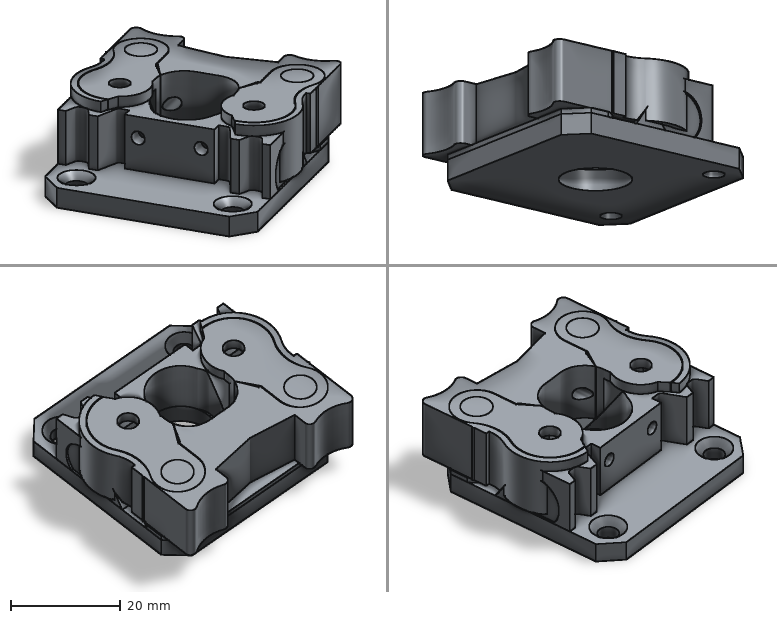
import cadquery as cq
import math

OVERALL_WIDTH = 44.65
PLATE_SIDE = 42.15
PLATE_CHAMFER = 3.95
PLATE_TOP = 4.0
BORE_RADIUS = 6.75
CORNER_OFFSET = 15.5
SCREW_HOLE_RADIUS = 2.0
COUNTERSINK_RADIUS = 3.5

YOKE_BOTTOM = 5.0
PAD_RADIUS = 6.02
TOP = 17.0
PIN_RADIUS = 3.0

HOUSING_TOP = 14.88
HOUSING_FRONT = -10.95
RAMP_FOOT = 6.65
RAMP_HEAD = -0.65
CHANNEL_HALF_WIDTH = 7.15
CHANNEL_CORNER = 3.65
NOTCH_FLOOR = -8.3
NOTCH_FILLET = 0.95
NOTCH_MOUTH = (-19.55, -14.95)
NOTCH_BASE = (-18.35, -16.15)
TOOTH_TIP = -13.2
TOOTH_ROOT = -11.1
SHOULDER = -6.2
BLOCK_HALF_WIDTH = 8.9
BLOCK_FRONT = -8.3
CROSS_HOLE_X = 6.25
CROSS_HOLE_Z = 10.6
CROSS_HOLE_RADIUS = 1.32
BLOCK_HOLE_END = -5.0
YOKE_HOLE_END = 13.7
DISC_RADIUS = 4.95
DISC_Y = -3.45
DISC_Z = 7.57
DISC_DEPTH = 0.45

LOBE_X = -13.32
LOBE_RADIUS = 7.57
LOBE_INNER_RADIUS = 6.02
LOBE_STEP = (-12.5, -11.25)
OUTER_ARC_MIDDLE = math.radians(210)
INNER_ARC_MIDDLE = math.radians(-15)
INNER_ARC_END = math.radians(30)
LEVER_HOLE_RADIUS = 2.0
LEVER_STEP_Y = 4.45
PIN_LOBE_RADIUS = 5.05
NECK_RADIUS = 8.65
ELBOW_Y = 10.3
ELBOW_END = (-7.7, 6.02)
CLEARANCE = 0.15
GAP_START = math.radians(60)
RIM_END_OUTER_X = -13.35

WING_OUTER = -20.85
WING_INNER = -9.95
WING_FRONT = 8.95
WING_FILLET = 1.2
WING_DIP_RADIUS = 8.0
WING_DIP_X = -14.7
WING_DIP_Y = 31.07
CROSSBAR_OUTER_REAR = 19.9
CROSSBAR_MIDDLE_REAR = 18.5
OPENING_HALF_WIDTH = 8.05
OPENING_REAR = 10.1
OPENING_CORNER = 5.7

HALF = PLATE_SIDE / 2
PIN = (-CORNER_OFFSET, CORNER_OFFSET)
LOBE = (LOBE_X, 0.0)
MID_LEVER = ((PIN[0] + LOBE[0]) / 2, (PIN[1] + LOBE[1]) / 2)
RIM_RADIUS = OVERALL_WIDTH / 2 + LOBE_X


def prism(outline, bottom, top):
    return outline.extrude(top - bottom).translate((0, 0, bottom))


def on_circle(centre, radius, angle):
    """Point on a circle, with the angle in radians."""
    return (centre[0] + radius * math.cos(angle), centre[1] + radius * math.sin(angle))


def toward(start, end, distance):
    """Point at the given distance from start in the direction of end."""
    return on_circle(start, distance, math.atan2(end[1] - start[1], end[0] - start[0]))


def below_centre(centre, radius, x):
    """Point at x on the lower half of a circle."""
    return (x, centre[1] - math.sqrt(radius**2 - (x - centre[0])**2))


def neck_centre():
    """Centre of the waist circle that touches the pin lobe and the front lobe from outside."""
    pin_reach = PIN_LOBE_RADIUS + NECK_RADIUS
    lobe_reach = LOBE_RADIUS + NECK_RADIUS
    span = math.dist(PIN, LOBE)
    to_lobe = math.atan2(LOBE[1] - PIN[1], LOBE[0] - PIN[0])
    cosine = (pin_reach**2 + span**2 - lobe_reach**2) / (2 * pin_reach * span)
    return on_circle(PIN, pin_reach, to_lobe - math.acos(cosine))


def mirrored(body):
    return body.mirror("YZ")


def centred_box(half_width, front, rear, bottom, top):
    size = (2 * half_width, rear - front, top - bottom)
    return cq.Workplane().box(*size).translate((0, (front + rear) / 2, (bottom + top) / 2))


NECK = neck_centre()


def square_slab(bottom, top):
    """Square of the plate size with chamfered corners."""
    return centred_box(HALF, -HALF, HALF, bottom, top).edges("|Z").chamfer(PLATE_CHAMFER)


def screw_hole(side):
    """Through hole with a 90 degree countersink."""
    sink = COUNTERSINK_RADIUS - SCREW_HOLE_RADIUS
    profile = (
        cq.Workplane("XZ")
        .polyline([
            (0, 0),
            (SCREW_HOLE_RADIUS, 0),
            (SCREW_HOLE_RADIUS, PLATE_TOP - sink),
            (COUNTERSINK_RADIUS, PLATE_TOP),
            (0, PLATE_TOP),
        ])
        .close()
    )
    hole = profile.revolve(360, (0, 0), (0, 1))
    return hole.translate((side * CORNER_OFFSET, -CORNER_OFFSET, 0))


def make_base():
    base = square_slab(0, PLATE_TOP).cut(prism(cq.Workplane().circle(BORE_RADIUS), 0, PLATE_TOP))
    return base.cut(screw_hole(-1)).cut(screw_hole(1))


def make_pad():
    """Thin spacer under the yoke: a rear strip with a round boss below each pin."""
    pad = centred_box(HALF, CORNER_OFFSET, HALF, PLATE_TOP, YOKE_BOTTOM)
    for side in (-1, 1):
        boss = cq.Workplane().center(side * CORNER_OFFSET, CORNER_OFFSET).circle(PAD_RADIUS)
        pad = pad.union(prism(boss, PLATE_TOP, YOKE_BOTTOM))
    return pad.intersect(square_slab(PLATE_TOP, YOKE_BOTTOM))


def housing_block():
    """Plain block with the sloped back."""
    return (
        cq.Workplane("YZ")
        .polyline([
            (HOUSING_FRONT, PLATE_TOP),
            (RAMP_FOOT, PLATE_TOP),
            (RAMP_HEAD, HOUSING_TOP),
            (HOUSING_FRONT, HOUSING_TOP),
        ])
        .close()
        .extrude(HALF, both=True)
    )


def side_recess():
    """Shallow round recess in the left side."""
    return (
        cq.Workplane("YZ", origin=(-HALF, 0, 0))
        .center(DISC_Y, DISC_Z)
        .circle(DISC_RADIUS)
        .extrude(DISC_DEPTH)
    )


def recessed_block():
    return housing_block().cut(side_recess()).cut(mirrored(side_recess()))


def side_notch():
    """Trapezoidal notch in the front of the left side."""
    notch = cq.Workplane().polyline([
        (NOTCH_MOUTH[0], HOUSING_FRONT),
        (NOTCH_BASE[0], NOTCH_FLOOR),
        (NOTCH_BASE[1], NOTCH_FLOOR),
        (NOTCH_MOUTH[1], HOUSING_FRONT),
    ]).close()
    return prism(notch, PLATE_TOP, HOUSING_TOP).edges("|Z and >Y").fillet(NOTCH_FILLET)


def centre_recess():
    """Wide recess between the two front teeth, behind which the block stands."""
    recess = cq.Workplane().polyline([
        (TOOTH_TIP, HOUSING_FRONT),
        (TOOTH_ROOT, SHOULDER),
        (-TOOTH_ROOT, SHOULDER),
        (-TOOTH_TIP, HOUSING_FRONT),
    ]).close()
    recess = prism(recess, PLATE_TOP, HOUSING_TOP).edges("|Z and >Y").fillet(NOTCH_FILLET)
    return recess.cut(centred_box(BLOCK_HALF_WIDTH, BLOCK_FRONT, 0, PLATE_TOP, HOUSING_TOP))


def channel():
    """Bore that widens to a rounded channel toward the sloped back."""
    wide = centred_box(CHANNEL_HALF_WIDTH, -CHANNEL_CORNER, RAMP_FOOT, PLATE_TOP, HOUSING_TOP)
    wide = wide.edges("|Z").fillet(CHANNEL_CORNER)
    return wide.union(prism(cq.Workplane().circle(BORE_RADIUS), PLATE_TOP, HOUSING_TOP))


def cross_holes(front, rear):
    """Pair of horizontal holes along Y."""
    return (
        cq.Workplane("XZ", origin=(0, rear, 0))
        .pushPoints([(-CROSS_HOLE_X, CROSS_HOLE_Z), (CROSS_HOLE_X, CROSS_HOLE_Z)])
        .circle(CROSS_HOLE_RADIUS)
        .extrude(rear - front)
    )


def make_housing():
    housing = recessed_block().cut(centre_recess()).cut(channel())
    housing = housing.cut(side_notch()).cut(mirrored(side_notch()))
    return housing.cut(cross_holes(BLOCK_FRONT, BLOCK_HOLE_END))


def opening():
    """Rounded opening above the bore, between the levers and the crossbar."""
    box = centred_box(OPENING_HALF_WIDTH, -OPENING_CORNER, OPENING_REAR, YOKE_BOTTOM, TOP)
    return box.edges("|Z and >Y").fillet(OPENING_CORNER)


def lever_blank(gap):
    """Left lever as a full-depth prism, grown by the gap except around the back of the pin lobe."""
    lobe_radius = LOBE_RADIUS + gap
    inner_radius = LOBE_INNER_RADIUS + gap
    inner_x = PIN[0] + PIN_LOBE_RADIUS + gap
    step_bottom = below_centre(LOBE, lobe_radius, LOBE_STEP[0])
    step_top = below_centre(LOBE, inner_radius, LOBE_STEP[1])
    outline = (
        cq.Workplane()
        .moveTo(inner_x, PIN[1])
        .threePointArc(
            on_circle(PIN, PIN_LOBE_RADIUS + gap / 2, GAP_START / 2),
            on_circle(PIN, PIN_LOBE_RADIUS, GAP_START),
        )
        .threePointArc((PIN[0] - PIN_LOBE_RADIUS, PIN[1]), toward(PIN, NECK, PIN_LOBE_RADIUS))
        .threePointArc(toward(NECK, MID_LEVER, NECK_RADIUS - gap), toward(LOBE, NECK, lobe_radius))
        .threePointArc(on_circle(LOBE, lobe_radius, OUTER_ARC_MIDDLE), step_bottom)
        .lineTo(*step_top)
        .threePointArc(
            on_circle(LOBE, inner_radius, INNER_ARC_MIDDLE),
            on_circle(LOBE, inner_radius, INNER_ARC_END),
        )
        .lineTo(ELBOW_END[0] + gap, ELBOW_END[1])
        .lineTo(inner_x, ELBOW_Y)
        .close()
    )
    return prism(outline, YOKE_BOTTOM, TOP)


def rear_opening():
    """Part of the opening that hollows the lever beside its front lobe."""
    lobe = prism(cq.Workplane().center(*LOBE).circle(LOBE_INNER_RADIUS), YOKE_BOTTOM, TOP)
    return opening().cut(lobe)


def make_lever():
    hole = prism(cq.Workplane().center(*LOBE).circle(LEVER_HOLE_RADIUS), YOKE_BOTTOM, TOP)
    pin_hole = prism(cq.Workplane().center(*PIN).circle(PIN_RADIUS), YOKE_BOTTOM, TOP)
    front_relief = centred_box(HALF, HOUSING_FRONT, LEVER_STEP_Y, YOKE_BOTTOM, HOUSING_TOP)
    lever = lever_blank(0).cut(rear_opening()).cut(front_relief).cut(housing_block())
    return lever.cut(hole).cut(pin_hole)


def wing():
    """Rear corner block with a dipped rear edge."""
    def rear_point(x):
        return below_centre((WING_DIP_X, WING_DIP_Y), WING_DIP_RADIUS, x)

    outline = (
        cq.Workplane()
        .moveTo(WING_INNER, WING_FRONT)
        .lineTo(*rear_point(WING_INNER))
        .threePointArc(rear_point(WING_DIP_X), rear_point(WING_OUTER))
        .lineTo(WING_OUTER, WING_FRONT)
        .close()
    )
    block = prism(outline, YOKE_BOTTOM, TOP)
    rear_corners = block.edges("|Z").edges(cq.selectors.BoxSelector(
        (WING_OUTER - WING_FILLET, CORNER_OFFSET, YOKE_BOTTOM),
        (WING_INNER + WING_FILLET, WING_DIP_Y, TOP),
    ))
    return rear_corners.fillet(WING_FILLET)


def crossbar():
    """Left half of the bar that joins the wings behind the bore."""
    outline = cq.Workplane().polyline([
        (WING_INNER, CROSSBAR_OUTER_REAR),
        (0, CROSSBAR_MIDDLE_REAR),
        (0, ELBOW_END[1]),
        (ELBOW_END[0], ELBOW_END[1]),
        (WING_INNER, ELBOW_Y),
    ]).close()
    return prism(outline, YOKE_BOTTOM, TOP)


def rim():
    """Wall that follows the outer side of the lever."""
    growth = RIM_RADIUS - LOBE_RADIUS
    start = toward(PIN, NECK, PIN_LOBE_RADIUS)
    outer_end = below_centre(LOBE, RIM_RADIUS, RIM_END_OUTER_X)
    inner_end = below_centre(LOBE, LOBE_RADIUS, LOBE_STEP[0])
    outline = (
        cq.Workplane()
        .moveTo(*start)
        .lineTo(*toward(NECK, PIN, NECK_RADIUS - growth))
        .threePointArc(
            toward(NECK, MID_LEVER, NECK_RADIUS - growth),
            toward(LOBE, NECK, RIM_RADIUS),
        )
        .threePointArc(on_circle(LOBE, RIM_RADIUS, OUTER_ARC_MIDDLE), outer_end)
        .lineTo(*inner_end)
        .lineTo(*LOBE)
        .close()
    )
    return prism(outline, YOKE_BOTTOM, TOP)


def make_yoke():
    left = wing().union(crossbar()).union(rim())
    left = left.cut(lever_blank(CLEARANCE)).cut(opening())
    yoke = left.union(mirrored(left)).cut(recessed_block())
    return yoke.cut(cross_holes(0, YOKE_HOLE_END))


def make_pin():
    return prism(cq.Workplane().center(*PIN).circle(PIN_RADIUS), YOKE_BOTTOM, TOP)


base = make_base()
pad = make_pad()
housing = make_housing()
yoke = make_yoke()
left_lever = make_lever()
left_pin = make_pin()

bodies = [body.val() for body in (base, pad, housing, yoke)]
for left_body in (left_lever, left_pin):
    bodies.append(left_body.val())
    bodies.append(mirrored(left_body).val())

result = cq.Compound.makeCompound(bodies)